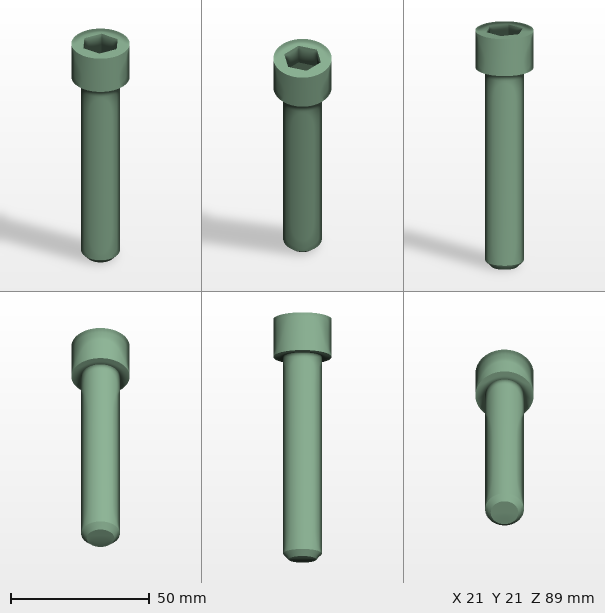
import cadquery as cq
import math

total_length = 89.0
head_diameter = 21.0
shank_diameter = 14.0
head_height = shank_diameter
thread_length = 40.05

tip_diameter = 10.0
tip_height = 2.1

socket_across_flats = 12.0
socket_depth = 8.0

shank_length = total_length - head_height


def make_body():
    """Revolve the half section; the thread and plain shank share one diameter and meet at a seam."""
    half_section = [
        (0, 0),
        (tip_diameter / 2, 0),
        (shank_diameter / 2, tip_height),
        (shank_diameter / 2, thread_length),
        (shank_diameter / 2, shank_length),
        (head_diameter / 2, shank_length),
        (head_diameter / 2, total_length),
        (0, total_length),
    ]
    return cq.Workplane("XZ").polyline(half_section).close().revolve(360, (0, 0), (0, 1))


def make_socket():
    across_corners = socket_across_flats / math.cos(math.pi / 6)
    return (
        cq.Workplane("XY")
        .workplane(offset=total_length)
        .polygon(6, across_corners)
        .extrude(-socket_depth)
    )


result = make_body().cut(make_socket())